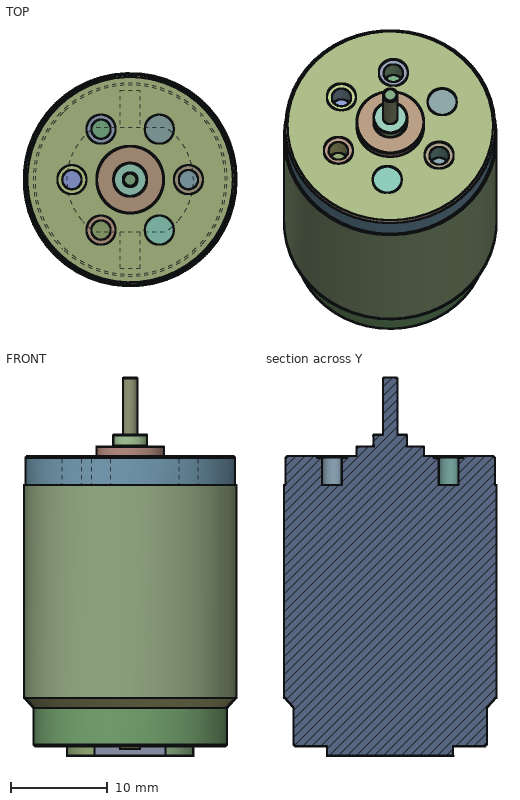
import cadquery as cq

total_height = 39.1
overlap = 0.2

rear_boss_diameter = 13.05
rear_boss_flat_width = 10.8
rear_boss_height = 0.98

terminal_width = 2.07
terminal_span = 18.38
terminal_thickness = 0.27

base_diameter = 20.0
base_height = 4.0
base_edge_chamfer = 0.2
body_diameter = 22.0
shoulder_height = 1.0
shoulder_rim_step = 0.08
body_height = 22.0
cap_diameter = 21.7
cap_height = 3.0
cap_edge_chamfer = 0.25

front_boss_diameter = 7.0
front_boss_height = 0.98
front_boss_chamfer = 0.08
collar_diameter = 3.5
collar_height = 1.2
collar_chamfer = 0.08
shaft_diameter = 1.52
shaft_chamfer = 0.1

hole_circle_radius = 6.02
recess_diameter = 3.0
recess_depth = 0.2
screw_hole_diameter = 2.0
screw_hole_depth = cap_height
recess_angles = [0, 60, 120, 180, 240, 300]
screw_hole_angles = [0, 120, 180, 240]

base_bottom = rear_boss_height
shoulder_bottom = base_bottom + base_height
body_bottom = shoulder_bottom + shoulder_height
cap_bottom = body_bottom + body_height
cap_top = cap_bottom + cap_height
front_boss_top = cap_top + front_boss_height
collar_top = front_boss_top + collar_height


def cylinder(diameter, bottom, top):
    return cq.Workplane("XY").workplane(offset=bottom).circle(diameter / 2).extrude(top - bottom)


def make_housing():
    base = cylinder(base_diameter, base_bottom, shoulder_bottom).faces("<Z").chamfer(base_edge_chamfer)
    shoulder = (
        cq.Workplane("XY")
        .workplane(offset=shoulder_bottom)
        .circle(base_diameter / 2)
        .workplane(offset=shoulder_height)
        .circle(body_diameter / 2 - shoulder_rim_step)
        .loft()
    )
    body = cylinder(body_diameter, body_bottom, cap_bottom)
    cap = cylinder(cap_diameter, cap_bottom, cap_top).faces(">Z").chamfer(cap_edge_chamfer)
    return base.union(shoulder).union(body).union(cap)


def make_front_end():
    boss = cylinder(front_boss_diameter, cap_top - overlap, front_boss_top)
    boss = boss.faces(">Z").chamfer(front_boss_chamfer)
    collar = cylinder(collar_diameter, front_boss_top, collar_top)
    collar = collar.faces("<Z or >Z").chamfer(collar_chamfer)
    shaft = cylinder(shaft_diameter, front_boss_top, total_height).faces(">Z").chamfer(shaft_chamfer)
    return boss.union(collar).union(shaft)


def make_rear_boss():
    flats = cq.Workplane("XY").box(
        rear_boss_diameter, rear_boss_flat_width, base_bottom + overlap, centered=(True, True, False)
    )
    return cylinder(rear_boss_diameter, 0, base_bottom + overlap).intersect(flats)


def make_terminals():
    return (
        cq.Workplane("XY")
        .workplane(offset=base_bottom - terminal_thickness)
        .rect(terminal_width, terminal_span)
        .extrude(terminal_thickness + overlap)
    )


def make_holes(angles, diameter, depth):
    """Blind holes on the hole circle, sunk from the front face."""
    holes = cq.Workplane("XY")
    for angle in angles:
        hole = cylinder(diameter, cap_top - depth, cap_top).translate((hole_circle_radius, 0, 0))
        holes = holes.add(hole.rotate((0, 0, 0), (0, 0, 1), angle))
    return holes.combine()


result = make_housing().union(make_front_end()).union(make_rear_boss()).union(make_terminals())
result = result.cut(make_holes(recess_angles, recess_diameter, recess_depth))
result = result.cut(make_holes(screw_hole_angles, screw_hole_diameter, screw_hole_depth))